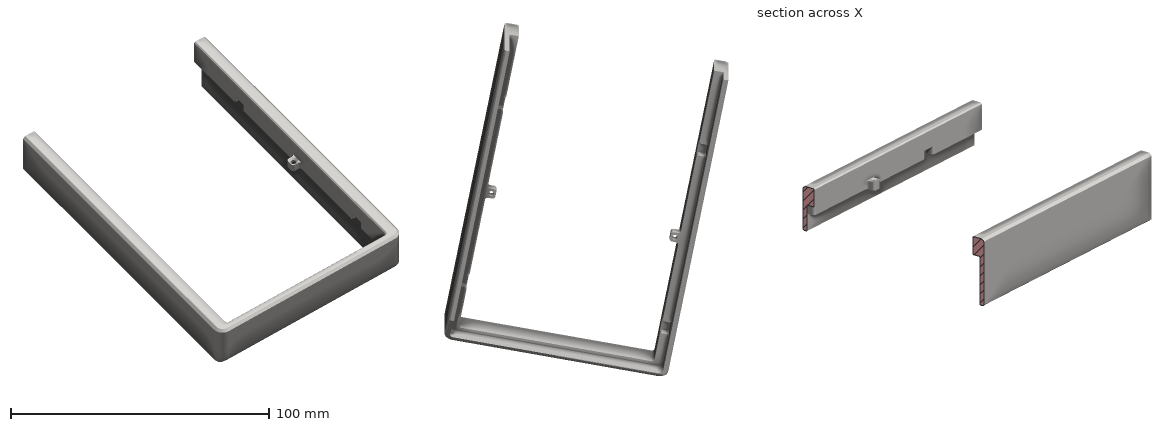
import cadquery as cq
import math

length = 127.7
width = 88.3
height = 28.1

side_wall = 5.6
end_wall = 3.5
skirt_wall = 2.0
band_height = 11.4
outer_radius = 4.0
band_inner_radius = 1.0
skirt_inner_radius = outer_radius - skirt_wall

short_skirt_height = 18.8
slope_start_x = 115.2
slope_end_height = 17.2

top_outer_chamfer = 1.0
top_inner_chamfer = 0.5
bottom_chamfer = 0.5

tab_top = -7.8
tab_width = 4.0
tab_reach = 3.7
corner_radius = 1.0
hole_diameter = 2.0
countersink_diameter = 3.6
countersink_angle = 90
hole_offset = 1.9
notch_width = 5.0
notch_spacing = 75.9
back_tab_x = 66.8
front_tab_x = 71.5

half_width = width / 2
inner_face_y = half_width - side_wall
tolerance = 0.001


def is_lower_outer_edge(edge):
    """True for an edge where the outside walls meet the underside or the sloped cut."""
    center = edge.Center()
    is_low = center.z < tolerance - slope_end_height
    on_side = abs(center.y) > half_width - outer_radius
    on_end = center.x > length - tolerance
    return is_low and (on_side or on_end)


def is_inner_rim_edge(edge):
    """True for a top edge where the opening meets the top face."""
    center = edge.Center()
    within_sides = abs(center.y) < inner_face_y + tolerance
    within_ends = tolerance < center.x < length - end_wall + tolerance
    return within_sides and within_ends


def outer_body():
    """Solid block with its lower outline cut and its outer edges chamfered."""
    body = (
        cq.Workplane("XY", origin=(0, -half_width, -height))
        .box(length, width, height, centered=False)
        .edges("|Z and >X")
        .fillet(outer_radius)
    )
    slope_cut = (
        cq.Workplane("XZ", origin=(0, half_width, 0))
        .moveTo(slope_start_x, -height)
        .lineTo(length, -slope_end_height)
        .lineTo(length, -height)
        .close()
        .extrude(width)
    )
    short_side_cut = cq.Workplane("XY", origin=(0, -half_width, -height)).box(
        length, half_width, height - short_skirt_height, centered=False
    )
    body = body.cut(slope_cut).cut(short_side_cut)
    body = body.faces(">Z").edges("not <X").chamfer(top_outer_chamfer)
    return body.edges().filter(is_lower_outer_edge).chamfer(bottom_chamfer)


def opening(side, end, radius, top):
    """Block that hollows the frame from the bottom up to top and runs out past the open end."""
    return (
        cq.Workplane("XY", origin=(0, 0, -height))
        .rect(2 * (length - end), width - 2 * side)
        .extrude(height + top)
        .edges("|Z")
        .fillet(radius)
    )


def flared_block(center_x, root_y, block_width, reach):
    """Block reaching in Y from a wall face at root_y, flaring out in rounds at that face."""
    direction = math.copysign(1, reach)
    half = block_width / 2
    arc_inset = corner_radius * (1 - math.sqrt(0.5))
    mid_x = half + arc_inset
    mid_y = root_y + direction * arc_inset
    round_y = root_y + direction * corner_radius
    tip_y = root_y + reach
    return (
        cq.Workplane("XY", origin=(center_x, 0, -band_height))
        .moveTo(-half - corner_radius, root_y)
        .threePointArc((-mid_x, mid_y), (-half, round_y))
        .lineTo(-half, tip_y)
        .lineTo(half, tip_y)
        .lineTo(half, round_y)
        .threePointArc((mid_x, mid_y), (half + corner_radius, root_y))
        .close()
        .extrude(band_height + tab_top)
    )


def screw_tab(center_x, side):
    """Tab inside one wall (side is +1 or -1 in Y) with a countersunk screw hole."""
    face_y = side * inner_face_y
    tip_face = "<Y" if side > 0 else ">Y"
    return (
        flared_block(center_x, face_y, tab_width, -side * tab_reach)
        .faces(tip_face)
        .edges("|Z")
        .fillet(corner_radius)
        .faces(">Z")
        .workplane(origin=(center_x, face_y - side * hole_offset, tab_top))
        .cskHole(hole_diameter, countersink_diameter, countersink_angle)
    )


def notch(center_x, side):
    """Notch through the band of one wall, from its inner face back to the skirt face."""
    return flared_block(center_x, side * inner_face_y, notch_width, side * (side_wall - skirt_wall))


frame = outer_body()
frame = frame.cut(opening(side_wall, end_wall, band_inner_radius, 0))
frame = frame.cut(opening(skirt_wall, skirt_wall, skirt_inner_radius, -band_height))
frame = frame.faces(">Z").edges().filter(is_inner_rim_edge).chamfer(top_inner_chamfer)

for tab_x, side in ((back_tab_x, 1), (front_tab_x, -1)):
    frame = frame.union(screw_tab(tab_x, side))
    for notch_x in (tab_x - notch_spacing / 2, tab_x + notch_spacing / 2):
        frame = frame.cut(notch(notch_x, side))

result = frame